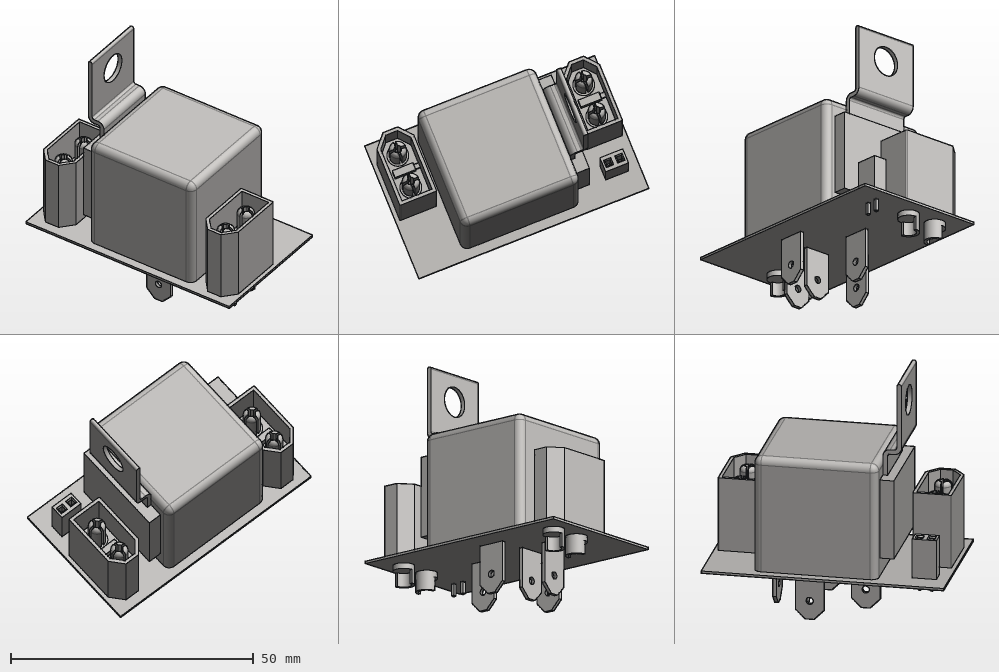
import cadquery as cq
import math


OVERALL_HEIGHT = 52.2

BOARD_LENGTH = 51.0
BOARD_WIDTH = 30.0
BOARD_THICKNESS = 0.5

CASE_X = 1.9
CASE_Y = -0.05
CASE_SIZE = 26.05
CASE_HEIGHT = 24.95
CASE_FILLET = 1.55
CASE_LEFT = CASE_X - CASE_SIZE / 2

BLOCK_DEPTH = 3.0
BLOCK_WIDTH = 21.1
BLOCK_BOTTOM = 3.95
BLOCK_TOP = 21.1

BRACKET_TOP = 41.2
BRACKET_WIDTH = 15.0
BRACKET_THICKNESS = 1.0
BRACKET_OFFSET = 2.9
BRACKET_STEP_TOP = 26.75
BEND_INNER_RADIUS = 0.5
BEND_OUTER_RADIUS = BEND_INNER_RADIUS + BRACKET_THICKNESS
BRACKET_HOLE_DIAMETER = 6.35
BRACKET_HOLE_Z = 35.2

BLADE_WIDTH = 6.0
BLADE_THICKNESS = 0.8
BLADE_LENGTH = OVERALL_HEIGHT - BRACKET_TOP
BLADE_CHAMFER = 2.05
BLADE_HOLE_DIAMETER = 1.5
BLADE_HOLE_Z = -7.0
COIL_BLADE_X = 3.85
COIL_BLADE_Y = 9.0
COMMON_BLADE_X = -6.05
CONTACT_BLADE_XS = (6.5, 12.6)

CONNECTOR_X = 20.5
LEFT_CONNECTOR_Y = -5.0
RIGHT_CONNECTOR_Y = -5.5
SHELL_WIDTH = 8.15
SHELL_LENGTH = 15.5
SHELL_HEIGHT = 15.9
SHELL_WALL = 0.75
SHELL_NOSE_WIDTH = 3.3
SHELL_NOSE_LENGTH = 2.8
SHELL_FILLET = 0.2
SHELL_FLOOR = 8.0
DIVIDER_LENGTH = 4.6
DIVIDER_WIDTH = 1.55
DIVIDER_HEIGHT = 1.55
DIVIDER_SHIFT = 0.05
WEB_WIDTH = 1.05
WEB_HEIGHT = DIVIDER_HEIGHT / 2

PIN_SPACING = 7.2
COLLAR_DIAMETER = 4.5
PIN_DIAMETER = 3.6
PIN_TOP = 14.85
PIN_ROUNDING = 1.0
PIN_BORE_DIAMETER = 1.5
PIN_BORE_TIP_ANGLE = 118
PIN_SLOT_WIDTH = 0.45
CUP_TOP = -1.7
CUP_BOTTOM = -4.65
CUP_BORE_DIAMETER = 3.3

HEADER_X = -20.4
HEADER_Y = 8.5
HEADER_LENGTH = 5.05
HEADER_WIDTH = 3.2
HEADER_HEIGHT = 8.5
HEADER_PITCH = 2.5
FUNNEL_WIDTH = 1.6
SOCKET_WIDTH = 1.05
FUNNEL_DEPTH = (FUNNEL_WIDTH - SOCKET_WIDTH) / 2
SOCKET_FLOOR = 2.1
POST_WIDTH = 0.7
POST_TOP = 5.2
TAIL_LENGTH = 3.2
TAIL_CHAMFER = 0.2


def box(x_size, y_size, bottom, top, x=0, y=0):
    """Upright box centred on (x, y) between two heights."""
    solid = cq.Workplane("XY", origin=(x, y, bottom)).rect(x_size, y_size)
    return solid.extrude(top - bottom)


def cylinder(diameter, bottom, top, x=0, y=0):
    """Upright cylinder centred on (x, y) between two heights."""
    solid = cq.Workplane("XY", origin=(x, y, bottom)).circle(diameter / 2)
    return solid.extrude(top - bottom)



def make_bracket():
    """Strip that rises from the block, steps away from the case and rises again."""
    upper_back = CASE_LEFT - BRACKET_OFFSET
    upper_front = upper_back - BRACKET_THICKNESS
    lower_front = CASE_LEFT - BRACKET_THICKNESS
    step_bottom = BRACKET_STEP_TOP - BRACKET_THICKNESS
    round_start = BRACKET_TOP - BRACKET_THICKNESS / 2
    profile = (
        cq.Workplane("XZ")
        .moveTo(CASE_LEFT, BLOCK_TOP)
        .lineTo(CASE_LEFT, BRACKET_STEP_TOP)
        .lineTo(upper_back, BRACKET_STEP_TOP)
        .lineTo(upper_back, round_start)
        .threePointArc(((upper_back + upper_front) / 2, BRACKET_TOP), (upper_front, round_start))
        .lineTo(upper_front, step_bottom)
        .lineTo(lower_front, step_bottom)
        .lineTo(lower_front, BLOCK_TOP)
        .close()
    )
    strip = profile.extrude(BRACKET_WIDTH / 2, both=True)

    bends = [
        (CASE_LEFT, BRACKET_STEP_TOP, BEND_OUTER_RADIUS),
        (upper_back, BRACKET_STEP_TOP, BEND_INNER_RADIUS),
        (upper_front, step_bottom, BEND_OUTER_RADIUS),
        (lower_front, step_bottom, BEND_INNER_RADIUS),
    ]
    for x, z, radius in bends:
        strip = strip.edges(cq.selectors.NearestToPointSelector((x, 0, z))).fillet(radius)

    hole = cq.Workplane("YZ", origin=(upper_front, 0, BRACKET_HOLE_Z))
    hole = hole.circle(BRACKET_HOLE_DIAMETER / 2).extrude(BRACKET_THICKNESS)
    return strip.cut(hole)


def make_blade(x, y, turn):
    """Flat terminal below the case, wide along X before it is turned about its own axis."""
    blade = box(BLADE_WIDTH, BLADE_THICKNESS, -BLADE_LENGTH, 0)
    blade = blade.faces("<Z").edges("|Y").chamfer(BLADE_CHAMFER)
    hole = cq.Workplane("XZ", origin=(0, 0, BLADE_HOLE_Z)).circle(BLADE_HOLE_DIAMETER / 2)
    blade = blade.cut(hole.extrude(BLADE_THICKNESS, both=True))
    return blade.rotate((0, 0, 0), (0, 0, 1), turn).translate((x, y, 0))


def make_relay():
    """Rounded case with its side block, bracket and blade terminals."""
    case = box(CASE_SIZE, CASE_SIZE, 0, CASE_HEIGHT, x=CASE_X)
    case = case.edges("|Z or >Z").fillet(CASE_FILLET)
    block_x = CASE_LEFT - BLOCK_DEPTH / 2
    relay = case.union(box(BLOCK_DEPTH, BLOCK_WIDTH, BLOCK_BOTTOM, BLOCK_TOP, x=block_x))
    relay = relay.union(make_bracket())
    relay = relay.union(make_blade(COMMON_BLADE_X, 0, 0))
    for y in (-COIL_BLADE_Y, COIL_BLADE_Y):
        relay = relay.union(make_blade(COIL_BLADE_X, y, 0))
    for x in CONTACT_BLADE_XS:
        relay = relay.union(make_blade(x, 0, 90))
    return relay.translate((0, CASE_Y, 0))



def make_shell(x, y):
    """Open-topped housing with a tapered nose toward -Y and a divider on its floor."""
    side = SHELL_WIDTH / 2
    end = SHELL_LENGTH / 2
    nose = SHELL_NOSE_WIDTH / 2
    outline = [
        (-side, end),
        (side, end),
        (side, SHELL_NOSE_LENGTH - end),
        (nose, -end),
        (-nose, -end),
        (-side, SHELL_NOSE_LENGTH - end),
    ]
    shell = cq.Workplane("XY").polyline(outline).close().extrude(SHELL_HEIGHT)
    shell = shell.edges("|Z and >Y").fillet(SHELL_FILLET)
    cavity = cq.Workplane("XY", origin=(0, 0, SHELL_FLOOR)).polyline(outline).close()
    cavity = cavity.offset2D(-SHELL_WALL).extrude(SHELL_HEIGHT - SHELL_FLOOR)
    shell = shell.cut(cavity)

    divider_top = SHELL_FLOOR + DIVIDER_HEIGHT
    shell = shell.union(box(DIVIDER_LENGTH, DIVIDER_WIDTH, SHELL_FLOOR, divider_top, x=DIVIDER_SHIFT))
    web_length = side - SHELL_WALL + DIVIDER_SHIFT
    web_top = SHELL_FLOOR + WEB_HEIGHT
    web_x = DIVIDER_SHIFT - web_length / 2
    shell = shell.union(box(web_length, WEB_WIDTH, SHELL_FLOOR, web_top, x=web_x))

    for pin_y in (-PIN_SPACING / 2, PIN_SPACING / 2):
        shell = shell.cut(cylinder(COLLAR_DIAMETER, 0, SHELL_FLOOR, y=pin_y))
    return shell.translate((x, y, 0))


def make_pin(x, y, turn):
    """Split contact pin with a solder cup that opens toward +Y before the pin is turned."""
    collar = cylinder(COLLAR_DIAMETER, CUP_BOTTOM, SHELL_FLOOR)
    contact = cylinder(PIN_DIAMETER, SHELL_FLOOR, PIN_TOP).faces(">Z").edges().fillet(PIN_ROUNDING)
    pin = collar.union(contact)

    bore_radius = PIN_BORE_DIAMETER / 2
    tip_depth = bore_radius / math.tan(math.radians(PIN_BORE_TIP_ANGLE / 2))
    bore = cq.Workplane("XZ").polyline([
        (0, PIN_TOP),
        (bore_radius, PIN_TOP),
        (bore_radius, SHELL_FLOOR),
        (0, SHELL_FLOOR - tip_depth),
    ]).close().revolve(360, (0, 0), (0, 1))
    pin = pin.cut(bore)

    pin = pin.cut(box(PIN_DIAMETER, PIN_SLOT_WIDTH, SHELL_FLOOR, PIN_TOP))
    pin = pin.cut(box(PIN_SLOT_WIDTH, PIN_DIAMETER, SHELL_FLOOR, PIN_TOP))

    pin = pin.cut(cylinder(CUP_BORE_DIAMETER, CUP_BOTTOM, CUP_TOP))
    pin = pin.cut(box(COLLAR_DIAMETER, COLLAR_DIAMETER, CUP_BOTTOM, CUP_TOP, y=COLLAR_DIAMETER / 2))
    return pin.rotate((0, 0, 0), (0, 0, 1), turn).translate((x, y, 0))



def make_header():
    """Two-way socket block; a square post stands in each socket and ends as a tail below."""
    header = box(HEADER_LENGTH, HEADER_WIDTH, 0, HEADER_HEIGHT, x=HEADER_X, y=HEADER_Y)
    for x in (HEADER_X - HEADER_PITCH / 2, HEADER_X + HEADER_PITCH / 2):
        funnel = cq.Workplane("XY", origin=(x, HEADER_Y, HEADER_HEIGHT)).rect(FUNNEL_WIDTH, FUNNEL_WIDTH)
        funnel = funnel.workplane(offset=-FUNNEL_DEPTH).rect(SOCKET_WIDTH, SOCKET_WIDTH).loft()
        socket = box(SOCKET_WIDTH, SOCKET_WIDTH, SOCKET_FLOOR, HEADER_HEIGHT, x=x, y=HEADER_Y)
        post = box(POST_WIDTH, POST_WIDTH, -TAIL_LENGTH, POST_TOP, x=x, y=HEADER_Y)
        post = post.faces("<Z").chamfer(TAIL_CHAMFER)
        header = header.cut(funnel).cut(socket).union(post)
    return header



relay = make_relay()
header = make_header()

shells = []
pins = []
for connector_x, connector_y in ((-CONNECTOR_X, LEFT_CONNECTOR_Y), (CONNECTOR_X, RIGHT_CONNECTOR_Y)):
    shells.append(make_shell(connector_x, connector_y))
    pins.append(make_pin(connector_x, connector_y + PIN_SPACING / 2, 0))
    pins.append(make_pin(connector_x, connector_y - PIN_SPACING / 2, 180))

board = box(BOARD_LENGTH, BOARD_WIDTH, -BOARD_THICKNESS, 0)
for mounted_part in [relay, header] + pins:
    board = board.cut(mounted_part)

bodies = [board, relay, header] + shells + pins
result = cq.Compound.makeCompound([body.val() for body in bodies])